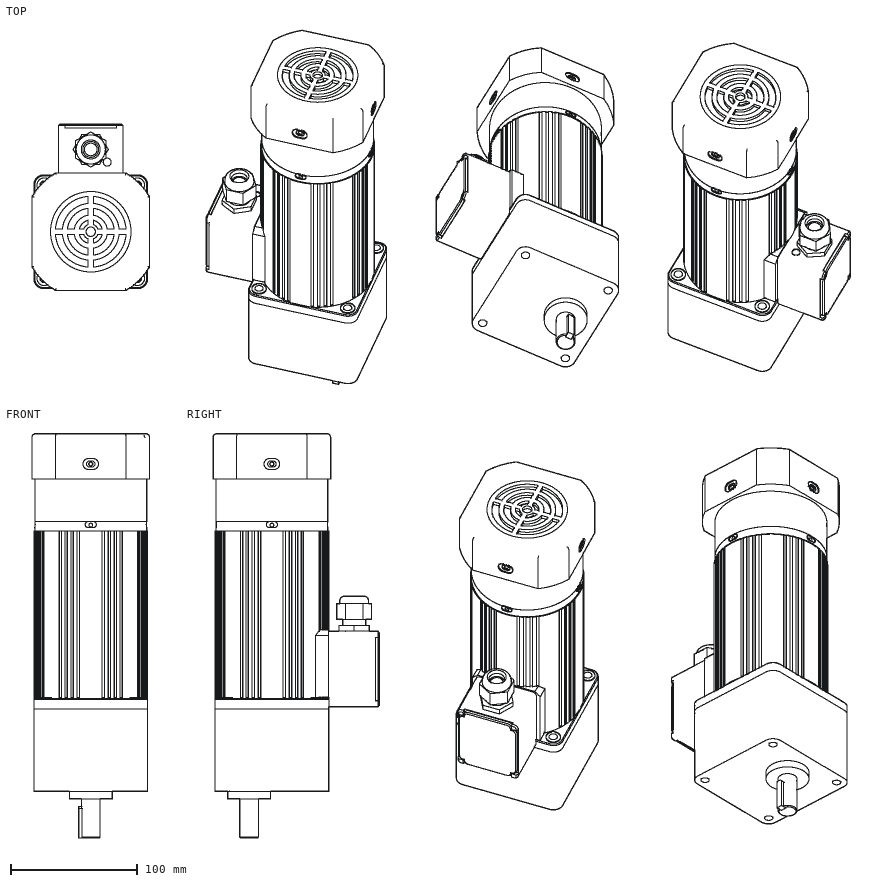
import cadquery as cq
import math


gearbox_height = 65.0
flange_height = 8.2
collar_height = 1.0
fins_top = 205.5
cover_bottom = 213.0
cap_bottom = 246.5
cap_top = 282.5
flange_top = gearbox_height + flange_height
fins_bottom = flange_top + collar_height

square_side = 90.0
corner_radius = 8.0
bolt_offset = 36.77
bolt_diameter = 6.5
bolt_pad_diameter = 11.5
bolt_pad_height = 0.8
flange_chamfer = 0.8

shaft_y = -18.0
shaft_diameter = 15.0
shaft_length = 31.0
shaft_chamfer = 0.8
boss_diameter = 34.0
boss_height = 6.0
key_side = 5.0
key_length = 25.0
key_projection = 2.0
key_corner_chamfer = 1.5
shaft_tip = -boss_height - shaft_length

barrel_radius = 45.0
sleeve_radius = 44.25
groove_width = 2.0
groove_depth = 0.5
grooves_per_group = 4
groove_pitch_angle = 6.6
groove_group_count = 8

screw_hole_diameter = 3.0
bracket_recess_length = 8.8
bracket_recess_width = 4.7
bracket_recess_depth = 1.0
bracket_screw_depth = 3.0
bracket_recess_z = cover_bottom - bracket_recess_width / 2
bracket_screw_drop = 0.4
bracket_screw_z = bracket_recess_z - bracket_screw_drop
cap_recess_z = 258.5
cap_recess_length = 12.3
cap_recess_width = 8.6
cap_recess_depth = 1.0
cap_inner_recess_length = 6.7
cap_inner_recess_width = 4.7
cap_inner_recess_depth = 2.0
cap_screw_depth = 6.5

cap_side = 93.0
cap_corner_circle_radius = 54.2
cap_edge_fillet = 3.0
cover_cavity_radius = 41.0
cover_roof = 7.0
grille_ring_radius = 35.5
grille_ring_depth = 0.3
grille_slot_depth = 4.0
grille_dish_top_radius = 33.6
grille_dish_bottom_radius = 31.8
grille_dish_depth = 0.8
grille_slots = [(6.0, 9.3), (13.2, 18.6), (22.5, 28.0)]
grille_bar_width = 4.0
grille_hub_radius = 3.7

box_width = 51.0
box_bottom = 66.7
box_top = 126.4
box_edge_fillet = 3.0
overall_depth = 131.5
box_outer_y = overall_depth - cap_side / 2
lid_thickness = 3.0
lid_inset = 5.0
lid_corner_radius = 4.0
lid_pad_chamfer = 1.2
lid_step = 0.7
lid_edge_chamfer = 1.0
box_face_y = box_outer_y - lid_thickness
box_height = box_top - box_bottom
box_center_z = (box_top + box_bottom) / 2
saddle_width = 57.6
saddle_outer_y = 44.6
saddle_top = 127.6
saddle_corner_chamfer = 4.4
box_plug_x = 13.0
box_plug_y = 55.0
box_plug_diameter = 6.3
box_plug_depth = 1.0

gland_y = 65.0
gland_across_flats = 24.0
gland_base_top = 131.0
gland_neck_diameter = 18.3
gland_nut_bottom = 135.7
gland_nut_top = 148.3
gland_dome_diameter = 23.0
gland_top = 154.2
gland_dome_fillet = 4.0
gland_bore_diameter = 10.0
gland_seat_diameter = 12.5
gland_mouth_diameter = 15.0
gland_mouth_depth = 2.5


def cylinder(radius, bottom, top, x=0.0, y=0.0):
    return cq.Workplane("XY", origin=(x, y, bottom)).circle(radius).extrude(top - bottom)


def cone(bottom_radius, top_radius, bottom, top):
    base = cq.Workplane("XY", origin=(0, 0, bottom)).circle(bottom_radius)
    return base.workplane(offset=top - bottom).circle(top_radius).loft()


def rounded_square(bottom, top):
    block = cq.Workplane("XY", origin=(0, 0, bottom)).rect(square_side, square_side).extrude(top - bottom)
    return block.edges("|Z").fillet(corner_radius)


def bolt_circles(diameter, bottom, top):
    """Four round columns at the corner bolt positions."""
    plane = cq.Workplane("XY", origin=(0, 0, bottom))
    columns = plane.rect(2 * bolt_offset, 2 * bolt_offset, forConstruction=True).vertices()
    return columns.circle(diameter / 2).extrude(top - bottom)


def around_four_sides(cutter):
    """The cutter repeated every 90 degrees about the motor axis."""
    axis = (0, 0, 1)
    copies = [cutter.val().rotate((0, 0, 0), axis, 90 * quarter) for quarter in range(4)]
    return cq.Workplane(cq.Compound.makeCompound(copies))


def side_slot(length, width, depth, face_distance, z):
    """An obround cutter that enters the -Y side to a given depth."""
    plane = cq.Workplane("XZ", origin=(0, -face_distance + depth, z))
    return plane.slot2D(length, width).extrude(2 * depth)


def side_hole(diameter, depth, face_distance, z):
    plane = cq.Workplane("XZ", origin=(0, -face_distance + depth, z))
    return plane.circle(diameter / 2).extrude(depth)


def make_gearbox():
    body = rounded_square(0, gearbox_height)
    body = body.union(cylinder(boss_diameter / 2, -boss_height, 0, y=shaft_y))
    return body.cut(bolt_circles(bolt_diameter, 0, gearbox_height))


def make_key():
    outer_x = -shaft_diameter / 2 - key_projection
    key_top = shaft_tip + key_length
    key = cq.Workplane("XY").box(key_side, key_side, key_length, centered=(False, True, False))
    key = key.edges(">Z and <Y").chamfer(key_corner_chamfer)
    return key.translate((outer_x, shaft_y, key_top - key_length))


def make_shaft(key):
    shaft = cylinder(shaft_diameter / 2, shaft_tip, -boss_height, y=shaft_y)
    shaft = shaft.faces("<Z").edges().chamfer(shaft_chamfer)
    return shaft.cut(key)


def barrel_grooves():
    """Groups of cooling grooves along the barrel, one group in each eighth of a turn."""
    group_pitch = 360 / groove_group_count
    groove = cq.Workplane("XY", origin=(barrel_radius, 0, fins_bottom)).rect(2 * groove_depth, groove_width)
    groove = groove.extrude(fins_top - fins_bottom).val()
    copies = []
    for group in range(groove_group_count):
        for index in range(grooves_per_group):
            offset = (index - (grooves_per_group - 1) / 2) * groove_pitch_angle
            angle = (group + 0.5) * group_pitch + offset
            copies.append(groove.rotate((0, 0, 0), (0, 0, 1), angle))
    return cq.Workplane(cq.Compound.makeCompound(copies))


def make_motor():
    flange = rounded_square(gearbox_height, flange_top)
    flange = flange.faces(">Z").edges().chamfer(flange_chamfer)
    flange = flange.union(bolt_circles(bolt_pad_diameter, gearbox_height + flange_height / 2,
                                       flange_top + bolt_pad_height))
    flange = flange.cut(bolt_circles(bolt_diameter, gearbox_height, fins_bottom))
    barrel = cylinder(barrel_radius, flange_top, fins_top).cut(barrel_grooves())
    bracket = cylinder(sleeve_radius, fins_top, cover_bottom)
    recess = side_slot(bracket_recess_length, bracket_recess_width, bracket_recess_depth,
                       sleeve_radius, bracket_recess_z)
    screw_hole = side_hole(screw_hole_diameter, bracket_screw_depth, sleeve_radius, bracket_screw_z)
    bracket = bracket.cut(around_four_sides(recess.union(screw_hole)))
    return flange.union(barrel).union(bracket)


def grille_cutter():
    """Blind concentric slots, interrupted by a cross of bars, and the round hub recess."""
    depth = grille_slot_depth
    plane = cq.Workplane("XY", origin=(0, 0, cap_top - depth))
    slots = plane.circle(grille_hub_radius).extrude(depth)
    bars = plane.rect(cap_side, grille_bar_width).extrude(depth)
    bars = bars.union(plane.rect(grille_bar_width, cap_side).extrude(depth))
    for inner, outer in grille_slots:
        slots = slots.union(plane.circle(outer).circle(inner).extrude(depth).cut(bars))
    return slots


def make_fan_cover():
    cap_height = cap_top - cap_bottom
    cap = cq.Workplane("XY", origin=(0, 0, cap_bottom)).rect(cap_side, cap_side).extrude(cap_height)
    cap = cap.intersect(cylinder(cap_corner_circle_radius, cap_bottom, cap_top))
    cap = cap.faces(">Z").edges().fillet(cap_edge_fillet)
    cover = cap.union(cylinder(sleeve_radius, cover_bottom, cap_bottom))
    cover = cover.cut(cylinder(cover_cavity_radius, cover_bottom, cap_top - cover_roof))

    ring_floor = cap_top - grille_ring_depth
    dish_floor = ring_floor - grille_dish_depth
    ring = cone(grille_dish_top_radius, grille_ring_radius, ring_floor, cap_top)
    dish = cone(grille_dish_bottom_radius, grille_dish_top_radius, dish_floor, ring_floor)
    cover = cover.cut(ring).cut(dish).cut(grille_cutter())

    face = cap_side / 2
    recess = side_slot(cap_recess_length, cap_recess_width, cap_recess_depth, face, cap_recess_z)
    recess = recess.union(side_slot(cap_inner_recess_length, cap_inner_recess_width,
                                    cap_inner_recess_depth, face, cap_recess_z))
    recess = recess.union(side_hole(screw_hole_diameter, cap_screw_depth, face, cap_recess_z))
    return cover.cut(around_four_sides(recess))


def make_lid():
    """Cross-shaped raised lid with rounded corners, and a chamfered pad in each corner of the box."""
    face = cq.Workplane("XZ", origin=(0, box_face_y, box_center_z))
    outline = face.rect(box_width, box_height).extrude(-lid_thickness)
    pads = outline.edges("|Y").fillet(box_edge_fillet).faces(">Y").edges().chamfer(lid_pad_chamfer)
    pads = pads.cut(face.rect(box_width, box_height - 2 * lid_inset).extrude(-lid_thickness))
    pads = pads.cut(face.rect(box_width - 2 * lid_inset, box_height).extrude(-lid_thickness))

    lid_width = box_width - 2 * lid_step
    lid_height = box_height - 2 * lid_step
    cross = face.rect(lid_width, box_height - 2 * lid_inset).extrude(-lid_thickness)
    cross = cross.union(face.rect(box_width - 2 * lid_inset, lid_height).extrude(-lid_thickness))
    cross = cross.edges("|Y").edges("<X or >X or <Z or >Z").fillet(lid_corner_radius)
    cross = cross.faces(">Y").edges().chamfer(lid_edge_chamfer)
    return cross.union(pads)


def make_terminal_box(motor):
    box = cq.Workplane("XZ", origin=(0, box_face_y, box_center_z)).rect(box_width, box_height)
    box = box.extrude(box_face_y).edges("|Y").fillet(box_edge_fillet)
    box = box.cut(cylinder(box_plug_diameter / 2, box_top - box_plug_depth, box_top, box_plug_x, box_plug_y))

    saddle_height = saddle_top - fins_bottom
    saddle = cq.Workplane("XZ", origin=(0, saddle_outer_y, fins_bottom + saddle_height / 2))
    saddle = saddle.rect(saddle_width, saddle_height).extrude(saddle_outer_y)
    saddle = saddle.edges("|Y and >Z").chamfer(saddle_corner_chamfer)

    box = box.union(saddle).union(make_lid())
    box = box.cut(cylinder(barrel_radius - groove_depth, box_bottom, saddle_top))
    box = box.cut(cq.Workplane("XY").rect(square_side, square_side).extrude(fins_bottom))
    return box.cut(motor)


def hexagon(bottom, top, turn):
    across_corners = gland_across_flats / math.cos(math.pi / 6)
    prism = cq.Workplane("XY", origin=(0, 0, bottom)).polygon(6, across_corners).extrude(top - bottom)
    return prism.rotate((0, 0, 0), (0, 0, 1), turn)


def make_gland():
    gland = hexagon(box_top, gland_base_top, 0)
    gland = gland.union(cylinder(gland_neck_diameter / 2, gland_base_top, gland_nut_bottom))
    gland = gland.union(hexagon(gland_nut_bottom, gland_nut_top, 30))
    dome = cylinder(gland_dome_diameter / 2, gland_nut_top, gland_top)
    gland = gland.union(dome.faces(">Z").edges().fillet(gland_dome_fillet))
    gland = gland.cut(cylinder(gland_bore_diameter / 2, box_top, gland_top))
    mouth_bottom = gland_top - gland_mouth_depth
    mouth = cone(gland_seat_diameter / 2, gland_mouth_diameter / 2, mouth_bottom, gland_top)
    mouth = mouth.union(cylinder(gland_seat_diameter / 2, gland_nut_top, mouth_bottom))
    return gland.cut(mouth).translate((0, gland_y, 0))


gearbox = make_gearbox()
key = make_key()
shaft = make_shaft(key)
motor = make_motor()
fan_cover = make_fan_cover()
terminal_box = make_terminal_box(motor)
gland = make_gland()

bodies = [gearbox, shaft, key, motor, fan_cover, terminal_box, gland]
result = cq.Compound.makeCompound([body.solids().val() for body in bodies])